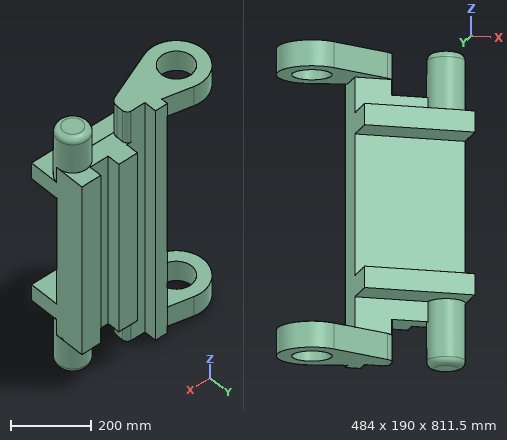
import cadquery as cq
import math

total_height = 811.5
eye_radius = 89.0
eye_hole_radius = 50.0
lug_top = 397.0
lug_bottom = 329.5
lug_end_x = 210.0
lug_end_back_y = 46.0
lug_end_front_y = -8.0
lug_back_fillet = 16.0
lug_front_fillet = 32.5

body_left = 109.5
body_right = 395.0
plate_back = eye_radius
plate_front = -6.0
shoulder_height = 290.0

groove_starts = (149.0, 272.0)
groove_width = 60.0
groove_depth = 40.0

flange_front = -101.0
flange_top = 238.0
flange_bottom = 182.5

pin_radius = 49.0
pin_edge_fillet = 19.0
pin_x = body_right - pin_radius


def block(x_range, y_range, z_range):
    """Box spanning the given coordinate ranges."""
    corners = (x_range, y_range, z_range)
    sizes = [high - low for low, high in corners]
    origin = tuple(low for low, high in corners)
    return cq.Workplane("XY").box(*sizes, centered=False).translate(origin)


def eye_tangent(x, y, side):
    """Point where the line from (x, y) touches the eye; side is +1 for back, -1 for front."""
    angle = math.atan2(y, x) + side * math.acos(eye_radius / math.hypot(x, y))
    return eye_radius * math.cos(angle), eye_radius * math.sin(angle)


def lug_outline(bottom, top):
    """Teardrop prism with a round eye and a blunt, rounded end."""
    back_corner = (lug_end_x, lug_end_back_y)
    front_corner = (lug_end_x, lug_end_front_y)
    prism = (
        cq.Workplane("XY")
        .workplane(offset=bottom)
        .moveTo(*eye_tangent(*front_corner, -1))
        .lineTo(*front_corner)
        .lineTo(*back_corner)
        .lineTo(*eye_tangent(*back_corner, 1))
        .threePointArc((-eye_radius, 0), eye_tangent(*front_corner, -1))
        .close()
        .extrude(top - bottom)
    )
    for corner, radius in ((back_corner, lug_back_fillet), (front_corner, lug_front_fillet)):
        corner_edge = cq.selectors.NearestToPointSelector((*corner, (bottom + top) / 2))
        prism = prism.edges(corner_edge).fillet(radius)
    return prism


def upper_end():
    """Lug, its neck, flange and pin at the top end."""
    lug = lug_outline(lug_bottom, lug_top)
    neck_space = block((body_left, body_right), (plate_front, plate_back), (shoulder_height, lug_bottom))
    neck = lug_outline(shoulder_height, lug_bottom).intersect(neck_space)
    rib = block((body_left, groove_starts[0]), (0, plate_back), (shoulder_height, lug_top))
    flange = block((body_left, body_right), (flange_front, plate_front), (flange_bottom, flange_top))
    pin = (
        cq.Workplane("XY")
        .workplane(offset=flange_bottom)
        .center(pin_x, 0)
        .circle(pin_radius)
        .extrude(total_height / 2 - flange_bottom)
        .faces(">Z")
        .edges()
        .fillet(pin_edge_fillet)
    )
    return lug.union(neck).union(rib).union(flange).union(pin)


plate = block((body_left, body_right), (plate_front, plate_back), (-shoulder_height, shoulder_height))
end = upper_end()
result = plate.union(end).union(end.mirror("XY"))

for start in groove_starts:
    groove = block(
        (start, start + groove_width),
        (plate_back - groove_depth, plate_back),
        (-total_height / 2, total_height / 2),
    )
    result = result.cut(groove)

result = result.cut(cq.Workplane("XY").circle(eye_hole_radius).extrude(total_height / 2, both=True))